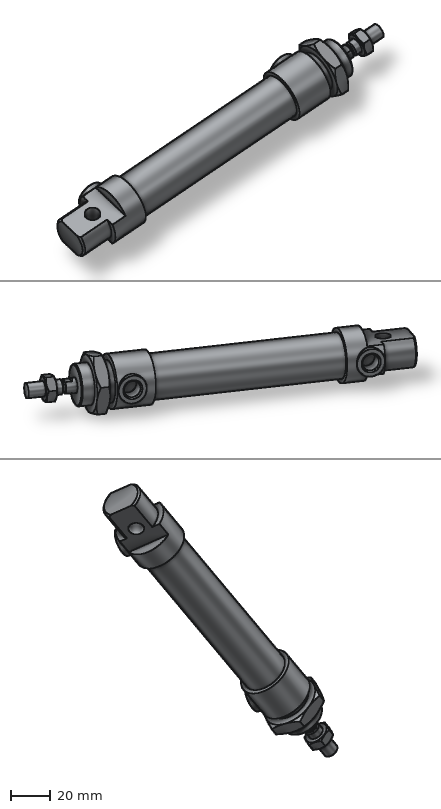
import cadquery as cq
import math


PIN_Y = 15.0
EAR_END_Y = 18.3
FLAT_END_Y = 27.0
REAR_CAP_FRONT_Y = 38.5
FRONT_CAP_REAR_Y = 140.5
SHOULDER_Y = 161.0
NECK_FRONT_Y = SHOULDER_Y + 18.0
THREAD_START_Y = 185.0
TIP_Y = THREAD_START_Y + 20.0

TUBE_DIAMETER = 24.0
CAP_DIAMETER = 28.5
NECK_DIAMETER = 22.0
NECK_CHAMFER = 0.6
CLEVIS_DIAMETER = 22.0
CLEVIS_THICKNESS = 16.0
CLEVIS_CHAMFER = 1.0
PIN_HOLE_DIAMETER = 8.0

PORT_BOSS_DIAMETER = 15.0
PORT_FACE_X = -15.0
PORT_HOLE_DIAMETER = 8.7
PORT_HOLE_DEPTH = 8.0
PORT_COUNTERSINK = 0.8
REAR_PORT_Y = 26.0
FRONT_PORT_Y = SHOULDER_Y - 8.0

ROD_DIAMETER = 8.0
ROD_FLAT_WIDTH = 6.4
ROD_FLAT_START_Y = 181.5
UNDERCUT_DIAMETER = 6.5
UNDERCUT_LENGTH = 1.0
UNDERCUT_TAPER = 0.8

MOUNTING_NUT_WIDTH = 30.0
MOUNTING_NUT_FACE_DIAMETER = 30.0
MOUNTING_NUT_THICKNESS = 7.0
MOUNTING_NUT_Y = 165.0
MOUNTING_NUT_TURN = 12.34
ROD_NUT_WIDTH = 13.0
ROD_NUT_FACE_DIAMETER = 12.5
ROD_NUT_THICKNESS = 5.5
ROD_NUT_Y = 190.5
ROD_NUT_TURN = 9.0
NUT_CHAMFER_ANGLE = 30.0


def revolve_profile(points):
    """Revolve a closed (radius, y) outline about the Y axis."""
    return cq.Workplane("XY").polyline(points).close().revolve(360, (0, 0, 0), (0, 1, 0))


def x_cylinder(diameter, y, x_start, length):
    """Cylinder along +X, centred on Z = 0."""
    return cq.Workplane("YZ", origin=(x_start, y, 0)).circle(diameter / 2).extrude(length)


def add_port(body, y):
    """Add a port boss to the -X side and sink a blind, countersunk hole into it."""
    boss = x_cylinder(PORT_BOSS_DIAMETER, y, PORT_FACE_X, -PORT_FACE_X)
    hole = x_cylinder(PORT_HOLE_DIAMETER, y, PORT_FACE_X, PORT_HOLE_DEPTH)
    countersink = (
        cq.Workplane("YZ", origin=(PORT_FACE_X, y, 0))
        .circle(PORT_HOLE_DIAMETER / 2 + PORT_COUNTERSINK)
        .workplane(offset=PORT_COUNTERSINK)
        .circle(PORT_HOLE_DIAMETER / 2)
        .loft()
    )
    return body.union(boss).cut(hole).cut(countersink)


def make_housing():
    """Clevis, rear cap, tube, front cap and threaded neck, with two ports and the pin hole."""
    clevis_radius = CLEVIS_DIAMETER / 2
    cap_radius = CAP_DIAMETER / 2
    tube_radius = TUBE_DIAMETER / 2
    neck_radius = NECK_DIAMETER / 2
    body = revolve_profile([
        (0, 0),
        (clevis_radius - CLEVIS_CHAMFER, 0),
        (clevis_radius, CLEVIS_CHAMFER),
        (clevis_radius, EAR_END_Y),
        (cap_radius, EAR_END_Y),
        (cap_radius, REAR_CAP_FRONT_Y),
        (tube_radius, REAR_CAP_FRONT_Y),
        (tube_radius, FRONT_CAP_REAR_Y),
        (cap_radius, FRONT_CAP_REAR_Y),
        (cap_radius, SHOULDER_Y),
        (neck_radius, SHOULDER_Y),
        (neck_radius, NECK_FRONT_Y - NECK_CHAMFER),
        (neck_radius - NECK_CHAMFER, NECK_FRONT_Y),
        (0, NECK_FRONT_Y),
    ])

    for side in (1, -1):
        flat_cut = (
            cq.Workplane("XY")
            .box(CAP_DIAMETER, FLAT_END_Y, CAP_DIAMETER, centered=(True, False, True))
            .translate((0, 0, side * (CLEVIS_THICKNESS + CAP_DIAMETER) / 2))
        )
        body = body.cut(flat_cut)

    for port_y in (REAR_PORT_Y, FRONT_PORT_Y):
        body = add_port(body, port_y)

    pin_hole = (
        cq.Workplane("XY", origin=(0, PIN_Y, 0))
        .circle(PIN_HOLE_DIAMETER / 2)
        .extrude(CLEVIS_THICKNESS, both=True)
    )
    return body.cut(pin_hole)


def make_rod():
    """Piston rod from the neck face to the tip, with wrench flats and a thread undercut."""
    rod_radius = ROD_DIAMETER / 2
    undercut_radius = UNDERCUT_DIAMETER / 2
    undercut_end = THREAD_START_Y + UNDERCUT_LENGTH
    rod = revolve_profile([
        (0, NECK_FRONT_Y),
        (rod_radius, NECK_FRONT_Y),
        (rod_radius, THREAD_START_Y),
        (undercut_radius, THREAD_START_Y),
        (undercut_radius, undercut_end),
        (rod_radius, undercut_end + UNDERCUT_TAPER),
        (rod_radius, TIP_Y),
        (0, TIP_Y),
    ])

    flat_height = ROD_FLAT_WIDTH / 2
    ramp = rod_radius - flat_height
    flat_cut = (
        cq.Workplane("YZ", origin=(-rod_radius, 0, 0))
        .polyline([
            (ROD_FLAT_START_Y - ramp, rod_radius),
            (ROD_FLAT_START_Y, flat_height),
            (THREAD_START_Y, flat_height),
            (THREAD_START_Y, rod_radius),
        ])
        .close()
        .extrude(ROD_DIAMETER)
    )
    rod = rod.cut(flat_cut).cut(flat_cut.mirror("XY"))
    return rod


def make_nut(width, face_diameter, thickness, bore, rear_y, turn):
    """Hexagon nut on the Y axis, chamfered to face_diameter; turn moves the +X corner toward -Z."""
    corner_radius = width / math.sqrt(3)
    face_radius = face_diameter / 2
    chamfer_length = (corner_radius - face_radius) * math.tan(math.radians(NUT_CHAMFER_ANGLE))
    front_y = rear_y + thickness
    hexagon = (
        cq.Workplane("XZ", origin=(0, front_y, 0))
        .polygon(6, 2 * corner_radius)
        .extrude(thickness)
        .rotate((0, 0, 0), (0, 1, 0), turn)
    )
    chamfer_envelope = revolve_profile([
        (bore / 2, rear_y),
        (face_radius, rear_y),
        (corner_radius, rear_y + chamfer_length),
        (corner_radius, front_y - chamfer_length),
        (face_radius, front_y),
        (bore / 2, front_y),
    ])
    return hexagon.intersect(chamfer_envelope)


housing = make_housing()
rod = make_rod()
mounting_nut = make_nut(
    MOUNTING_NUT_WIDTH,
    MOUNTING_NUT_FACE_DIAMETER,
    MOUNTING_NUT_THICKNESS,
    NECK_DIAMETER,
    MOUNTING_NUT_Y,
    MOUNTING_NUT_TURN,
)
rod_nut = make_nut(
    ROD_NUT_WIDTH,
    ROD_NUT_FACE_DIAMETER,
    ROD_NUT_THICKNESS,
    ROD_DIAMETER,
    ROD_NUT_Y,
    ROD_NUT_TURN,
)

result = cq.Compound.makeCompound([housing.val(), rod.val(), mounting_nut.val(), rod_nut.val()])